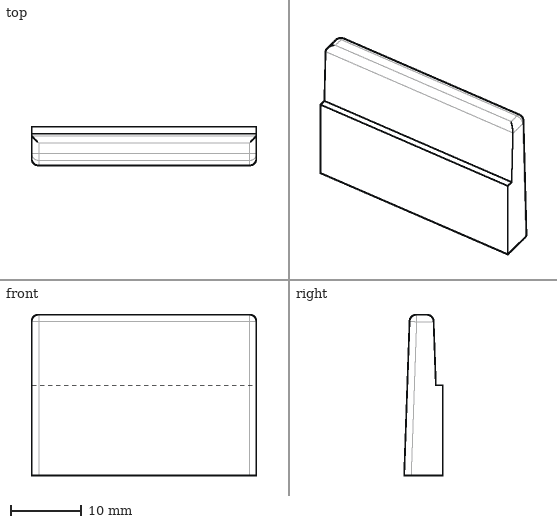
import cadquery as cq
import math

WIDTH = 32.0
DEPTH = 5.55
HEIGHT = 22.9

BLADE_BASE_DEPTH = 5.0
DRAFT_ANGLE = 2.0
EDGE_RADIUS = 1.0

LEDGE_HEIGHT = 12.9


def make_blade():
    """Drafted blade with rounded front corners and top rim."""
    inset = HEIGHT * math.tan(math.radians(DRAFT_ANGLE))
    profile = [
        (0, 0),
        (BLADE_BASE_DEPTH, 0),
        (BLADE_BASE_DEPTH - inset, HEIGHT),
        (inset, HEIGHT),
    ]
    blade = cq.Workplane("YZ").polyline(profile).close().extrude(WIDTH / 2, both=True)
    front_corners = blade.faces("<Y").edges("<X or >X")
    return front_corners.fillet(EDGE_RADIUS).faces(">Z").edges().fillet(EDGE_RADIUS)


def make_ledge():
    """Square ledge that overlaps the blade and ends at the back plane."""
    overlap_start = BLADE_BASE_DEPTH / 2
    ledge_depth = DEPTH - overlap_start
    return (
        cq.Workplane("XY")
        .center(0, overlap_start + ledge_depth / 2)
        .rect(WIDTH, ledge_depth)
        .extrude(LEDGE_HEIGHT)
    )


result = make_blade().union(make_ledge()).clean()